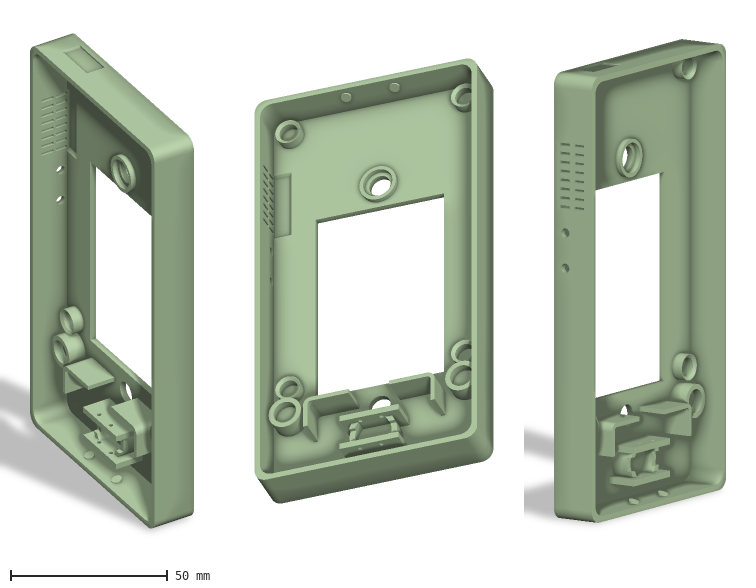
import cadquery as cq

WIDTH = 76.0
DEPTH = 14.8
HEIGHT = 145.0
WALL = 1.9
PLATE = 2.2
CORNER_RADIUS = 4.0

FRONT_Y = -DEPTH / 2
BACK_Y = DEPTH / 2
PLATE_Y = BACK_Y - PLATE
INNER_X = WIDTH / 2 - WALL
INNER_Z = HEIGHT / 2 - WALL

WINDOW_WIDTH = 43.8
WINDOW_TOP = 31.6
WINDOW_BOTTOM = -36.5

MOUNT_DIAMETER = 7.2
UPPER_MOUNT_Z = 39.6
LOWER_MOUNT_Z = -44.4
COLLAR_DIAMETER = 12.5
COLLAR_BORE = 10.0
COLLAR_HEIGHT = 1.9

POST_X = 30.0
POST_TOP_Z = 65.0
POST_BOTTOM_Z = -32.9
POST_DIAMETER = 8.5
POST_MOUTH = 8.3
POST_BORE = 6.2
POST_HEIGHT = 3.8
POST_SINK = 0.7

BOSS_X = 30.2
BOSS_Z = -43.6
BOSS_DIAMETER = 11.0
BOSS_BORE = 7.7
BOSS_HEIGHT = 6.1
BOSS_BORE_DEPTH = 3.2

RIB_HEIGHT = 9.9
BRACKET_OUTER_X = 22.5
BRACKET_INNER_X = 7.0
BRACKET_TOP_Z = -42.5
BRACKET_BOTTOM_Z = -53.2
BRACKET_THICKNESS = 1.5
BRACKET_INNER_RADIUS = 1.2

HOLDER_Z = -58.5
HOLDER_WIDTH = 20.2
HOLDER_GAP = 8.5
HOLDER_THICKNESS = 2.0
HOLDER_RING_OUTER = 16.2
HOLDER_RING_INNER = 12.5
HOLDER_RING_HEIGHT = 7.2
NOTCH_WIDTH = 4.6
NOTCH_DEPTH = 1.5
HOLDER_PAD_HEIGHT = 2.9
PIN_HOLE_DIAMETER = 1.5
PIN_HOLE_X = 3.6
PIN_HOLE_Y = -2.6

SNAP_X = 8.3
SNAP_Y = -3.3
SNAP_DIAMETER = 3.3
SNAP_HEIGHT = 1.3
SNAP_LOW_HEIGHT = 0.3

SPEAKER_TOP = 51.8
SPEAKER_BOTTOM = 27.8
SPEAKER_WIDTH = 6.0
SPEAKER_DEPTH = 1.0
SPEAKER_SLOPE = 1.0

SLOT_COUNT = 8
SLOT_PITCH = 2.9
SLOT_TOP_Z = 49.9
SLOT_HEIGHT = 1.0
LONG_SLOT = (1.2, PLATE_Y)
SHORT_SLOT = (-4.2, 0.3)
INDICATOR_DIAMETER = 3.0
INDICATOR_Y = 2.9
INDICATOR_Z = (21.2, 9.7)

RECESS_LEFT = -28.3
RECESS_RIGHT = -13.0
RECESS_FRONT = -1.5
RECESS_BACK = 5.2
RECESS_DEPTH = 0.6
RECESS_SLOPE = 0.9


def box(x0, x1, y0, y1, z0, z1):
    return cq.Workplane("XY").box(x1 - x0, y1 - y0, z1 - z0, centered=False).translate((x0, y0, z0))


def rod(x, z, diameter, y0, y1):
    """Cylinder along Y from y0 to y1."""
    return cq.Workplane("XZ", origin=(x, y1, z)).circle(diameter / 2).extrude(y1 - y0)


def shell():
    outer = box(-WIDTH / 2, WIDTH / 2, FRONT_Y, BACK_Y, -HEIGHT / 2, HEIGHT / 2)
    inner = box(-INNER_X, INNER_X, FRONT_Y, PLATE_Y, -INNER_Z, INNER_Z)
    return outer.edges("|Y").fillet(CORNER_RADIUS).cut(inner.edges("|Y").fillet(CORNER_RADIUS))


def post(x, z):
    mouth_y = PLATE_Y - POST_HEIGHT
    body = rod(x, z, POST_DIAMETER, mouth_y, PLATE_Y).cut(rod(x, z, POST_BORE, mouth_y, PLATE_Y))
    countersink = cq.Solid.makeCone(POST_MOUTH / 2, POST_BORE / 2, POST_SINK,
                                    cq.Vector(x, mouth_y, z), cq.Vector(0, 1, 0))
    return body.cut(cq.Workplane(countersink))


def boss(x, z):
    top_y = PLATE_Y - BOSS_HEIGHT
    bore = rod(x, z, BOSS_BORE, top_y, top_y + BOSS_BORE_DEPTH)
    return rod(x, z, BOSS_DIAMETER, top_y, PLATE_Y).cut(bore)


def bracket():
    top_y = PLATE_Y - RIB_HEIGHT
    t = BRACKET_THICKNESS
    outer = box(-BRACKET_OUTER_X, -BRACKET_INNER_X, top_y, PLATE_Y, BRACKET_BOTTOM_Z, BRACKET_TOP_Z)
    inner = box(-BRACKET_OUTER_X + t, -BRACKET_INNER_X, top_y, PLATE_Y, BRACKET_BOTTOM_Z, BRACKET_TOP_Z - t)
    outer = outer.edges("|Y and <X and >Z").fillet(BRACKET_INNER_RADIUS + t)
    return outer.cut(inner.edges("|Y and <X and >Z").fillet(BRACKET_INNER_RADIUS))


def holder():
    half_x = HOLDER_WIDTH / 2
    half_gap = HOLDER_GAP / 2
    half_z = half_gap + HOLDER_THICKNESS
    rib_y = PLATE_Y - RIB_HEIGHT
    ring_y = PLATE_Y - HOLDER_RING_HEIGHT
    ring = rod(0, HOLDER_Z, HOLDER_RING_OUTER, ring_y, PLATE_Y)
    ring = ring.cut(rod(0, HOLDER_Z, HOLDER_RING_INNER, ring_y, PLATE_Y - HOLDER_PAD_HEIGHT))
    ring = ring.intersect(box(-half_x, half_x, ring_y, PLATE_Y, HOLDER_Z - half_gap, HOLDER_Z + half_gap))
    ring = ring.cut(box(-half_x, half_x, ring_y, ring_y + NOTCH_DEPTH,
                        HOLDER_Z - NOTCH_WIDTH / 2, HOLDER_Z + NOTCH_WIDTH / 2))
    block = box(-half_x, half_x, rib_y, PLATE_Y, HOLDER_Z - half_z, HOLDER_Z + half_z)
    plates = block.cut(box(-half_x, half_x, rib_y, PLATE_Y, HOLDER_Z - half_gap, HOLDER_Z + half_gap))
    pin_holes = (cq.Workplane("XY", origin=(0, PIN_HOLE_Y, HOLDER_Z - half_z))
                 .pushPoints([(-PIN_HOLE_X, 0), (PIN_HOLE_X, 0)])
                 .circle(PIN_HOLE_DIAMETER / 2).extrude(2 * half_z))
    return plates.cut(pin_holes).union(ring)


def snap_peg(x):
    """Peg on the bottom wall whose end slopes down toward the open side."""
    radius = SNAP_DIAMETER / 2
    profile = (cq.Workplane("YZ", origin=(x - radius, SNAP_Y, -INNER_Z))
               .polyline([(-radius, 0), (radius, 0), (radius, SNAP_HEIGHT), (-radius, SNAP_LOW_HEIGHT)])
               .close().extrude(SNAP_DIAMETER))
    peg = cq.Workplane("XY", origin=(x, SNAP_Y, -INNER_Z)).circle(radius).extrude(SNAP_HEIGHT)
    return peg.intersect(profile)


def sloped_pocket(mouth_points, floor_points):
    """Straight-sided solid between the mouth corners and the floor corners of a pocket."""
    wires = [cq.Wire.makePolygon([cq.Vector(*p) for p in points], close=True)
             for points in (mouth_points, floor_points)]
    return cq.Workplane(cq.Solid.makeLoft(wires, True))


def speaker_pocket():
    """Pocket in the plate, sloped on three sides and square against the -X wall."""
    def corners(y, inset):
        right = SPEAKER_WIDTH - INNER_X - inset
        bottom = SPEAKER_BOTTOM + inset
        top = SPEAKER_TOP - inset
        return [(-INNER_X, y, bottom), (right, y, bottom), (right, y, top), (-INNER_X, y, top)]
    return sloped_pocket(corners(PLATE_Y, 0), corners(PLATE_Y + SPEAKER_DEPTH, SPEAKER_SLOPE))


def top_recess():
    """Recess in the top wall, sloped on three sides and square on the +Y side."""
    def corners(z, inset):
        left = RECESS_LEFT + inset
        right = RECESS_RIGHT - inset
        front = RECESS_FRONT + inset
        return [(left, front, z), (right, front, z), (right, RECESS_BACK, z), (left, RECESS_BACK, z)]
    return sloped_pocket(corners(HEIGHT / 2, 0), corners(HEIGHT / 2 - RECESS_DEPTH, RECESS_SLOPE))


def wall_openings():
    outside = -WIDTH / 2
    openings = cq.Workplane("YZ", origin=(outside, 0, 0)).pushPoints(
        [(INDICATOR_Y, z) for z in INDICATOR_Z]).circle(INDICATOR_DIAMETER / 2).extrude(WALL)
    for row in range(SLOT_COUNT):
        z = SLOT_TOP_Z - row * SLOT_PITCH
        for y0, y1 in (LONG_SLOT, SHORT_SLOT):
            openings = openings.union(
                box(outside, -INNER_X, y0, y1, z - SLOT_HEIGHT / 2, z + SLOT_HEIGHT / 2))
    return openings


result = shell()
result = result.union(rod(0, UPPER_MOUNT_Z, COLLAR_DIAMETER, PLATE_Y - COLLAR_HEIGHT, PLATE_Y))
for x in (-POST_X, POST_X):
    for z in (POST_TOP_Z, POST_BOTTOM_Z):
        result = result.union(post(x, z))
for x in (-BOSS_X, BOSS_X):
    result = result.union(boss(x, BOSS_Z))
result = result.union(bracket()).union(bracket().mirror("YZ")).union(holder())
for x in (-SNAP_X, SNAP_X):
    result = result.union(snap_peg(x)).union(snap_peg(x).mirror("XY"))

result = result.cut(box(-WINDOW_WIDTH / 2, WINDOW_WIDTH / 2, PLATE_Y, BACK_Y, WINDOW_BOTTOM, WINDOW_TOP))
result = result.cut(rod(0, UPPER_MOUNT_Z, COLLAR_BORE, PLATE_Y - COLLAR_HEIGHT, PLATE_Y))
for z in (UPPER_MOUNT_Z, LOWER_MOUNT_Z):
    result = result.cut(rod(0, z, MOUNT_DIAMETER, PLATE_Y, BACK_Y))
result = result.cut(speaker_pocket()).cut(wall_openings()).cut(top_recess())